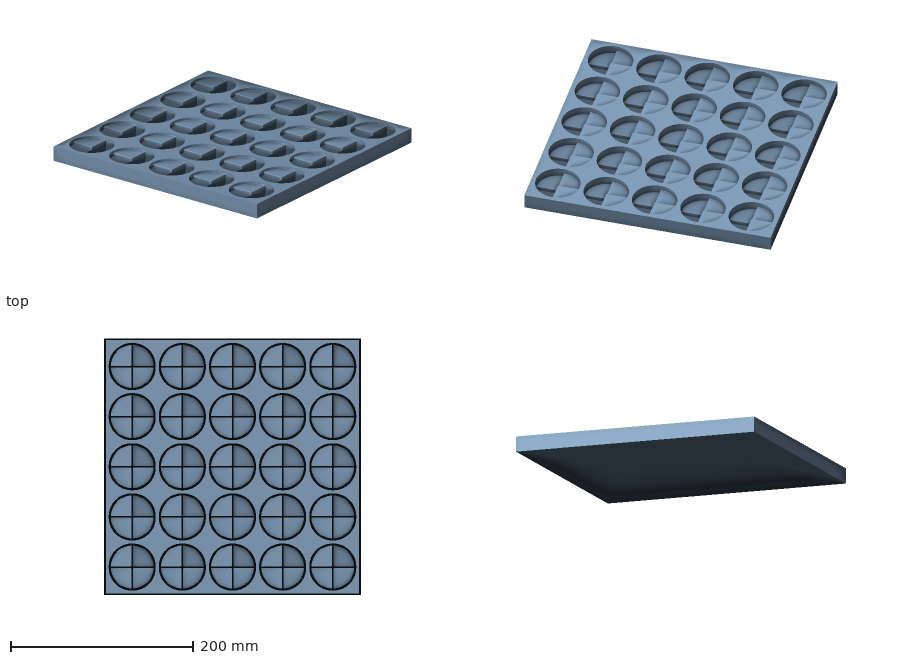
import cadquery as cq

side = 280.0
height = 17.0

pockets_per_side = 5
wall_between = 5.0
pocket_diameter = (side - (pockets_per_side + 1) * wall_between) / pockets_per_side
pocket_radius = pocket_diameter / 2
pocket_pitch = pocket_diameter + wall_between

quadrant_depths = [3.0, 6.2, 10.0, 15.0]
quadrant_count = len(quadrant_depths)
quadrant_angle = 360 / quadrant_count

floor_fillet = 0.5


def floor_cutter(quadrants, depth):
    """Cylinder sector from Z = 0 down to depth, with rounded bottom edges.

    The sector starts at the +Y axis and covers the given number of quadrants clockwise.
    """
    if quadrants == quadrant_count:
        sector = cq.Workplane("XY").circle(pocket_radius).extrude(-depth)
    else:
        sector = (
            cq.Workplane("YZ")
            .moveTo(0, -depth)
            .rect(pocket_radius, depth, centered=False)
            .revolve(quadrants * quadrant_angle, (0, 0, 0), (0, -1, 0))
        )
    return sector.faces("<Z").edges().fillet(floor_fillet)


def step_edge_cutter(upper_side, upper_depth):
    """Sliver that rounds the top edge of a step running along +Y from the pocket centre.

    The upper floor lies at upper_depth, on the +X side (upper_side = 1) or the -X side (-1).
    """
    inset = upper_side * floor_fillet
    lowered = upper_depth + floor_fillet
    block = (
        cq.Workplane("XZ")
        .moveTo(inset / 2, -upper_depth - floor_fillet / 2)
        .rect(floor_fillet, floor_fillet)
        .extrude(-pocket_radius)
    )
    round_edge = cq.Workplane("XZ").moveTo(inset, -lowered).circle(floor_fillet).extrude(-pocket_radius)
    pocket_wall = cq.Workplane("XY").circle(pocket_radius).extrude(-lowered)
    return block.cut(round_edge).intersect(pocket_wall)


def pocket_cutter():
    """Stepped pocket centred on the origin, its rim at Z = 0."""
    cutter = cq.Workplane("XY")
    for index, depth in enumerate(quadrant_depths):
        cutter = cutter.union(floor_cutter(quadrant_count - index, depth))

    for index, depth in enumerate(quadrant_depths[:-1]):
        step_angle = (index + 1) * quadrant_angle
        step_edge = step_edge_cutter(1, depth).rotate((0, 0, 0), (0, 0, 1), step_angle)
        cutter = cutter.union(step_edge)

    return cutter.union(step_edge_cutter(-1, quadrant_depths[0])).val()


pocket = pocket_cutter()
plate = cq.Workplane("XY").box(side, side, height, centered=(True, True, False))
result = (
    plate.faces(">Z")
    .workplane()
    .rarray(pocket_pitch, pocket_pitch, pockets_per_side, pockets_per_side)
    .cutEach(lambda location: pocket.moved(location))
)